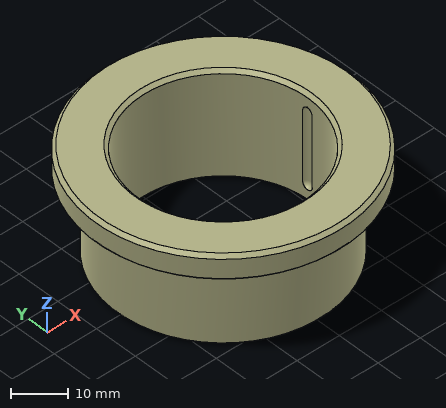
import cadquery as cq

total_height = 25.0
flange_diameter = 60.0
flange_thickness = 6.0
body_diameter = 50.0
bore_diameter = 40.0
edge_chamfer = 0.8
neck_fillet = 2.5

groove_radius = 1.25
groove_depth = 0.9
groove_bottom_center = 4.3
groove_top_center = total_height - groove_bottom_center

flange_radius = flange_diameter / 2
body_radius = body_diameter / 2
bore_radius = bore_diameter / 2
groove_center_radius = bore_radius + groove_depth - groove_radius
flange_underside = total_height - flange_thickness


def make_bushing():
    """Revolved ring section with chamfered edges and a filleted neck."""
    neck_bottom = flange_underside - neck_fillet
    neck_outer_radius = body_radius + neck_fillet
    return (
        cq.Workplane("XZ")
        .moveTo(bore_radius + edge_chamfer, 0)
        .lineTo(body_radius - edge_chamfer, 0)
        .lineTo(body_radius, edge_chamfer)
        .lineTo(body_radius, neck_bottom)
        .radiusArc((neck_outer_radius, flange_underside), neck_fillet)
        .lineTo(flange_radius - edge_chamfer, flange_underside)
        .lineTo(flange_radius, flange_underside + edge_chamfer)
        .lineTo(flange_radius, total_height - edge_chamfer)
        .lineTo(flange_radius - edge_chamfer, total_height)
        .lineTo(bore_radius + edge_chamfer, total_height)
        .lineTo(bore_radius, total_height - edge_chamfer)
        .lineTo(bore_radius, edge_chamfer)
        .close()
        .revolve(360, (0, 0, 0), (0, 1, 0))
    )


def make_groove():
    """Round-bottomed cutter with spherical ends, sunk into the bore wall."""
    groove_length = groove_top_center - groove_bottom_center
    cutter = (
        cq.Workplane("XY", origin=(groove_center_radius, 0, groove_bottom_center))
        .circle(groove_radius)
        .extrude(groove_length)
    )
    for center_height in (groove_bottom_center, groove_top_center):
        end = cq.Workplane("XY").sphere(groove_radius).translate((groove_center_radius, 0, center_height))
        cutter = cutter.union(end)
    return cutter


result = make_bushing().cut(make_groove())